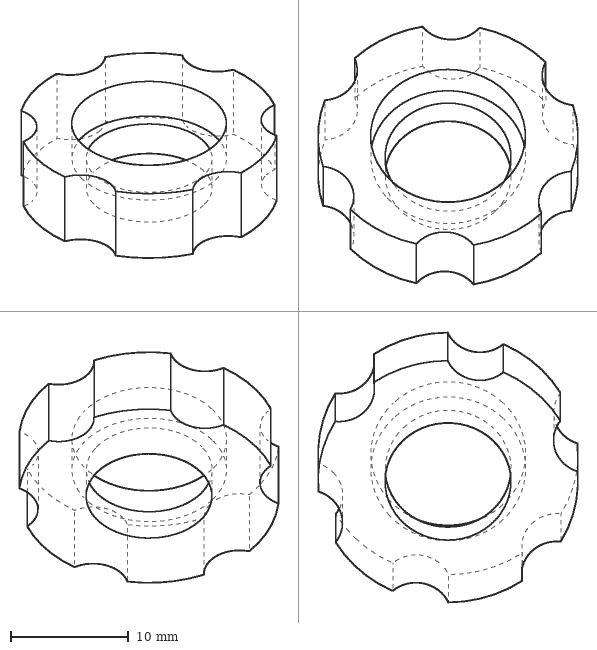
import cadquery as cq

outer_diameter = 22.0
height = 6.5

bore_diameter = 10.65
counterbore_diameter = 13.1
counterbore_depth = 3.5

scallop_count = 6
scallop_radius = 3.0
scallop_center_radius = 12.5
first_scallop_angle = 90.0

body = cq.Workplane("XY").circle(outer_diameter / 2).extrude(height)

scallops = (
    cq.Workplane("XY")
    .polarArray(scallop_center_radius, first_scallop_angle, 360, scallop_count)
    .circle(scallop_radius)
    .extrude(height)
)

result = (
    body.cut(scallops)
    .faces(">Z")
    .workplane(origin=(0, 0, height))
    .cboreHole(bore_diameter, counterbore_diameter, counterbore_depth)
)